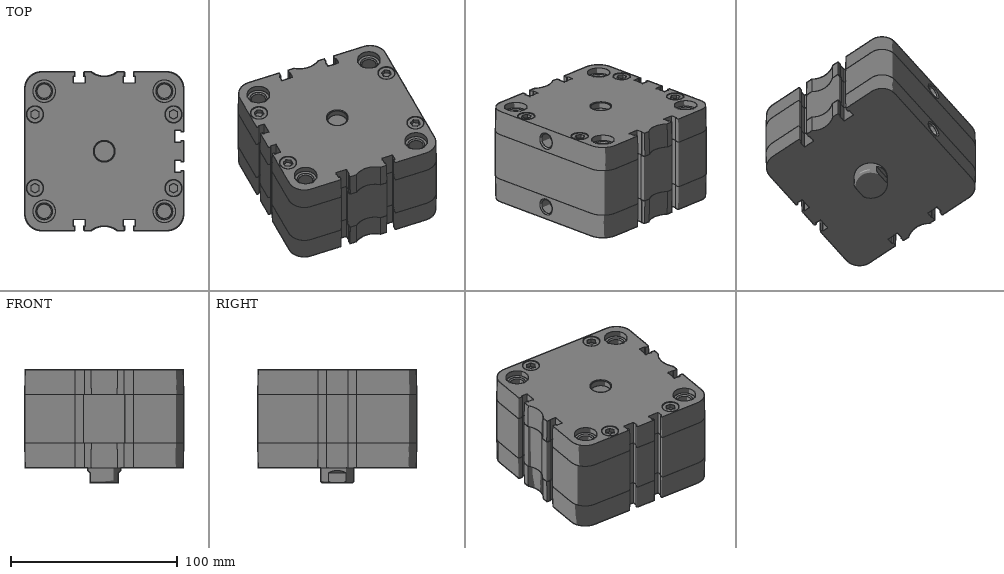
import cadquery as cq
import math

side = 95.5
corner_radius = 10.3
cap_height = 15.0
barrel_height = 29.0
draft_angle = 1.3

barrel_bottom = cap_height
barrel_top = barrel_bottom + barrel_height
body_height = barrel_top + cap_height
half_side = side / 2
margin = 1.0

y_slot_offset = 15.0
slot_inner_width = 7.0
y_slot_depth = 6.75
y_slot_lip = 2.9
slot_outer_edge = 17.6
barrel_land_edge = 12.4
cap_land_edge = 11.9

x_slot_offset = 9.0
x_slot_mouth = 5.3
x_slot_depth = 5.5
x_slot_lip = 1.8

mouth_rounding = 0.4
land_rounding = 1.0
edge_reach = 0.4

scallop_radius = 12.5
scallop_depth = 2.7
scallop_center = half_side - scallop_depth + scallop_radius
scallop_half_width = math.sqrt(scallop_radius**2 - (scallop_radius - scallop_depth) ** 2)

mount_offset = 36.0
mount_counterbore_diameter = 13.5
mount_counterbore_depth = 3.5
mount_countersink_diameter = 10.11
mount_diameter = 8.57
mount_depth = 12.5

screw_x = 41.5
screw_y = 22.1
screw_recess_diameter = 10.3
screw_head_diameter = 9.8
screw_recess_depth = 4.0
screw_head_drop = 0.3
hex_across_flats = 5.0
hex_depth = 2.5

center_diameter = 12.0
center_chamfer = 0.5
center_depth = 4.0

port_height = 8.0
port_diameter = 8.57
port_countersink_diameter = 10.3
port_depth = 8.0
air_passage_diameter = 5.0
air_passage_depth = 12.0
port_face_x = half_side - (cap_height - port_height) * math.tan(math.radians(draft_angle))

rod_diameter = 20.0
rod_projection = 9.0
rod_end_rounding = 1.5
rod_across_flats = 17.0
flat_start = 3.0


def slot_cutter(offset, inner_width, mouth_low, mouth_high, lip, depth):
    """T-slot along the full height, opening towards +Y at Y = half_side."""
    mouth = cq.Workplane("XY").box(
        mouth_high - mouth_low, lip + margin, body_height, centered=False
    ).translate((mouth_low, half_side - lip, 0))
    inner = cq.Workplane("XY").box(
        inner_width, depth - lip, body_height, centered=False
    ).translate((offset - inner_width / 2, half_side - depth, 0))
    return mouth.union(inner)


def straight_scallop():
    return cq.Workplane("XY").center(0, scallop_center).circle(scallop_radius).extrude(body_height)


def leaning_scallop():
    """Conical scallop that follows the draft of the upper cap's wall."""
    return (
        cq.Workplane("XY", origin=(0, scallop_center, barrel_top))
        .circle(scallop_radius)
        .extrude(cap_height, taper=-draft_angle)
    )


def side_cutter(land_edge, scallop):
    """All the slots and scallops of the body's sides."""
    slot = slot_cutter(
        y_slot_offset, slot_inner_width, land_edge, slot_outer_edge, y_slot_lip, y_slot_depth
    )
    y_side = slot.union(slot.mirror("YZ")).union(scallop)
    cutter = y_side.union(y_side.mirror("XZ"))

    side_slot = slot_cutter(
        x_slot_offset, slot_inner_width, x_slot_offset - x_slot_mouth / 2,
        x_slot_offset + x_slot_mouth / 2, x_slot_lip, x_slot_depth,
    )
    x_side = side_slot.union(side_slot.mirror("YZ")).rotate((0, 0, 0), (0, 0, 1), -90)
    return cutter.union(x_side)


def round_upright_edges(body, places, radius):
    """Round the upright edges that stand at the given (x, y) places."""
    for x, y in places:
        box = cq.selectors.BoxSelector(
            (x - edge_reach, y - edge_reach, 0), (x + edge_reach, y + edge_reach, body_height)
        )
        body = body.edges(box).edges("not #Z").fillet(radius)
    return body


def y_side_places(x):
    """Places on both Y sides at a distance x to either side of the middle."""
    return [(i * x, j * half_side) for i in (-1, 1) for j in (-1, 1)]


def mouth_places():
    """Slot mouth edges that are rounded alike in the caps and the barrel."""
    x_side = [
        (half_side, i * x_slot_offset + j * x_slot_mouth / 2) for i in (-1, 1) for j in (-1, 1)
    ]
    return y_side_places(slot_outer_edge) + x_side


def rounded_square(z):
    outline = cq.Sketch().rect(side, side).vertices().fillet(corner_radius)
    return cq.Workplane("XY").workplane(offset=z).placeSketch(outline)


def make_barrel():
    body = rounded_square(barrel_bottom).extrude(barrel_height)
    body = body.cut(side_cutter(barrel_land_edge, straight_scallop()))
    body = round_upright_edges(body, mouth_places(), mouth_rounding)
    land_places = y_side_places(barrel_land_edge) + y_side_places(scallop_half_width)
    return round_upright_edges(body, land_places, land_rounding)


def make_plain_upper_cap():
    body = rounded_square(barrel_top).extrude(cap_height, taper=draft_angle)
    body = body.cut(side_cutter(cap_land_edge, leaning_scallop()))
    return round_upright_edges(body, mouth_places(), mouth_rounding)


def countersunk_hole(diameter, countersink_diameter, depth):
    """Hole along +Z with a 45 degree countersink, running straight on below its mouth at the origin."""
    radius = diameter / 2
    mouth_radius = countersink_diameter / 2
    return (
        cq.Workplane("XZ")
        .moveTo(0, -margin)
        .lineTo(mouth_radius, -margin)
        .lineTo(mouth_radius, 0)
        .lineTo(radius, mouth_radius - radius)
        .lineTo(radius, depth)
        .lineTo(0, depth)
        .close()
        .revolve(360, (0, 0, 0), (0, 1, 0))
    )


def port_cutter(z):
    hole = countersunk_hole(port_diameter, port_countersink_diameter, port_depth)
    return hole.rotate((0, 0, 0), (0, 1, 0), 90).translate((-port_face_x, 0, z))


def hole_from_top(hole):
    return hole.rotate((0, 0, 0), (1, 0, 0), 180).translate((0, 0, body_height))


def mount_cutter():
    counterbore = cq.Workplane("XY").circle(mount_counterbore_diameter / 2).extrude(mount_counterbore_depth)
    hole = countersunk_hole(
        mount_diameter, mount_countersink_diameter, mount_depth - mount_counterbore_depth
    )
    return hole_from_top(counterbore.union(hole.translate((0, 0, mount_counterbore_depth))))


def screw_cutter():
    """The clearance around a screw head and its hexagon socket."""
    hex_diameter = hex_across_flats / math.cos(math.pi / 6)
    recess = cq.Workplane("XY").circle(screw_recess_diameter / 2).extrude(screw_recess_depth)
    head = (
        cq.Workplane("XY", origin=(0, 0, screw_head_drop))
        .circle(screw_head_diameter / 2)
        .extrude(screw_recess_depth - screw_head_drop)
    )
    socket = (
        cq.Workplane("XY")
        .polygon(6, hex_diameter)
        .extrude(screw_head_drop + hex_depth)
        .rotate((0, 0, 0), (0, 0, 1), 30)
    )
    return hole_from_top(recess.cut(head).union(socket))


def make_upper_cap():
    body = make_plain_upper_cap()
    for i in (-1, 1):
        for j in (-1, 1):
            body = body.cut(mount_cutter().translate((i * mount_offset, j * mount_offset, 0)))
            body = body.cut(screw_cutter().translate((i * screw_x, j * screw_y, 0)))

    center_mouth = center_diameter + 2 * center_chamfer
    body = body.cut(hole_from_top(countersunk_hole(center_diameter, center_mouth, center_depth)))

    port_z = body_height - port_height
    passage = (
        cq.Workplane("YZ", origin=(-port_face_x, 0, port_z))
        .circle(air_passage_diameter / 2)
        .extrude(air_passage_depth)
    )
    return body.cut(port_cutter(port_z)).cut(passage)


def make_lower_cap():
    """Mirror of the plain upper cap, with its port and the rod's bore."""
    body = make_plain_upper_cap().mirror("XY").translate((0, 0, body_height))
    rod_bore = cq.Workplane("XY").circle(rod_diameter / 2).extrude(cap_height)
    return body.cut(port_cutter(port_height)).cut(rod_bore)


def flat_cutter():
    """Removes one wrench flat on the +X side, ending in a 45 degree slope at its top."""
    flat_x = rod_across_flats / 2
    outer_x = rod_diameter / 2 + margin
    return (
        cq.Workplane("XZ")
        .moveTo(flat_x, -rod_projection - margin)
        .lineTo(outer_x, -rod_projection - margin)
        .lineTo(outer_x, -flat_start + outer_x - flat_x)
        .lineTo(flat_x, -flat_start)
        .close()
        .extrude(rod_diameter / 2, both=True)
    )


def make_rod():
    body = (
        cq.Workplane("XY", origin=(0, 0, -rod_projection))
        .circle(rod_diameter / 2)
        .extrude(rod_projection + cap_height)
        .faces("<Z")
        .edges()
        .fillet(rod_end_rounding)
    )
    flat = flat_cutter()
    return body.cut(flat).cut(flat.mirror("YZ"))


barrel = make_barrel()
upper_cap = make_upper_cap()
lower_cap = make_lower_cap()
piston_rod = make_rod()

result = cq.Compound.makeCompound(
    [barrel.val(), upper_cap.val(), lower_cap.val(), piston_rod.val()]
)